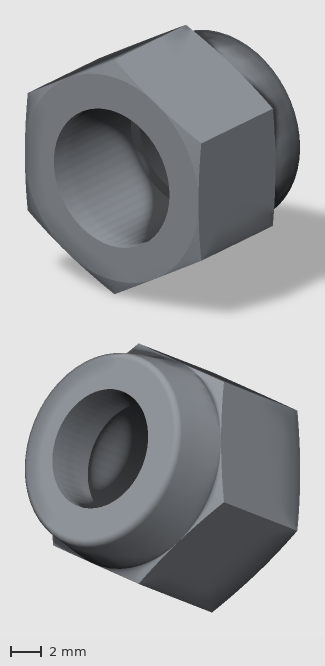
import cadquery as cq
import math

across_corners = 16.5
across_flats = across_corners * math.cos(math.radians(30))
total_length = 11.9
hex_length = 8.22
chamfer_angle = 15.0

collar_top_diameter = 12.94
collar_edge_radius = 0.43

bore_diameter = 9.52
insert_bore_diameter = 8.02
bore_depth = hex_length


def cylinder_along_y(diameter, start, length):
    plane = cq.Workplane("XZ", origin=(0, start, 0))
    return plane.circle(diameter / 2).extrude(-length)


def hex_body():
    """Hexagon with corners on Z, its corners cut by a cone at both ends."""
    hexagon = (
        cq.Workplane("XZ")
        .polygon(6, across_corners)
        .extrude(-hex_length)
        .rotate((0, 0, 0), (0, 1, 0), 30)
    )
    flat_radius = across_flats / 2
    corner_radius = across_corners / 2
    chamfer_drop = (corner_radius - flat_radius) * math.tan(math.radians(chamfer_angle))
    envelope = (
        cq.Workplane("XY")
        .moveTo(0, 0)
        .lineTo(flat_radius, 0)
        .lineTo(corner_radius, chamfer_drop)
        .lineTo(corner_radius, hex_length - chamfer_drop)
        .lineTo(flat_radius, hex_length)
        .lineTo(0, hex_length)
        .close()
        .revolve(360, (0, 0, 0), (0, 1, 0))
    )
    return hexagon.intersect(envelope)


def collar():
    """Tapered collar on the far end, with a rounded outer edge."""
    cone = (
        cq.Workplane("XY")
        .moveTo(0, hex_length)
        .lineTo(across_flats / 2, hex_length)
        .lineTo(collar_top_diameter / 2, total_length)
        .lineTo(0, total_length)
        .close()
        .revolve(360, (0, 0, 0), (0, 1, 0))
    )
    return cone.faces(">Y").edges().fillet(collar_edge_radius)


bore = cylinder_along_y(bore_diameter, 0, bore_depth)
insert_bore = cylinder_along_y(insert_bore_diameter, 0, total_length)

result = hex_body().union(collar()).cut(bore).cut(insert_bore)